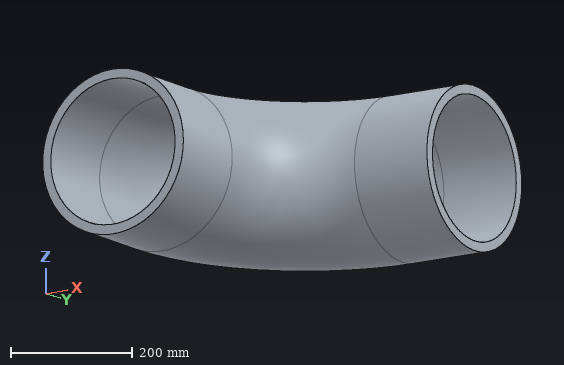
import cadquery as cq

overall_length = 569.0
outer_diameter = 280.0
inner_diameter = 247.0
straight_length = 144.0
bend_angle = 90.0

bend_radius = overall_length - straight_length - outer_diameter / 2


def ring_section(plane):
    """Annular pipe section centred on the given plane."""
    return cq.Workplane(plane).circle(outer_diameter / 2).circle(inner_diameter / 2)


inlet_plane = cq.Plane(origin=(-bend_radius, 0, 0), xDir=(1, 0, 0), normal=(0, -1, 0))
outlet_plane = cq.Plane(origin=(0, bend_radius, 0), xDir=(0, 1, 0), normal=(1, 0, 0))

bend = ring_section(inlet_plane).revolve(
    bend_angle, (bend_radius, 0, 0), (bend_radius, -1, 0)
)

inlet = ring_section(inlet_plane).extrude(straight_length)
outlet = ring_section(outlet_plane).extrude(straight_length)

result = bend.union(inlet).union(outlet)